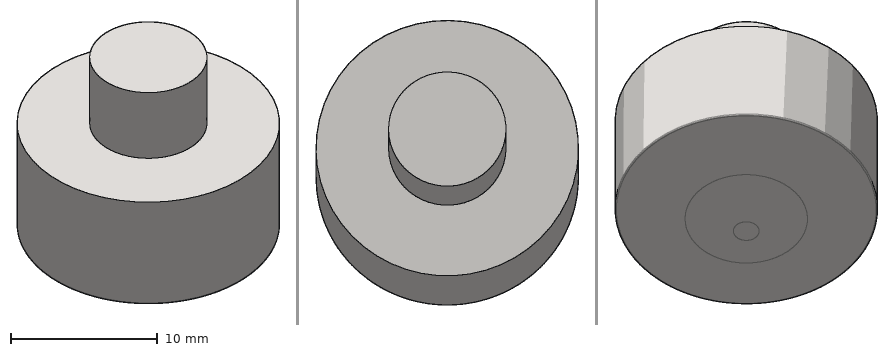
import cadquery as cq
import math

body_radius = 8.95
stem_radius = 8.0 / 2
total_height = 16.7
stem_height = 5.62
rim_fillet = 0.1

nose_radius = 1.79
flare_radius = 10.92
nose_edge_angle = math.radians(29.4)
cone_angle = math.radians(10.9)

shoulder_z = total_height - stem_height


def nose_point(angle):
    """Point (radius, height) on the nose where its slope equals the angle."""
    return nose_radius * math.sin(angle), nose_radius * (1 - math.cos(angle))


nose_edge = nose_point(nose_edge_angle)

flare_center_r = nose_edge[0] + flare_radius * math.sin(nose_edge_angle)
flare_center_z = nose_edge[1] - flare_radius * math.cos(nose_edge_angle)


def flare_point(angle):
    """Point (radius, height) on the flare where its slope equals the angle."""
    return (
        flare_center_r - flare_radius * math.sin(angle),
        flare_center_z + flare_radius * math.cos(angle),
    )


flare_end = flare_point(cone_angle)
rim_z = flare_end[1] + (body_radius - flare_end[0]) * math.tan(cone_angle)

body = (
    cq.Workplane("XZ")
    .moveTo(0, 0)
    .threePointArc(nose_point(nose_edge_angle / 2), nose_edge)
    .threePointArc(flare_point((nose_edge_angle + cone_angle) / 2), flare_end)
    .lineTo(body_radius, rim_z)
    .lineTo(body_radius, shoulder_z)
    .lineTo(0, shoulder_z)
    .close()
    .revolve(360, (0, 0, 0), (0, 1, 0))
)

rim_edge = cq.selectors.NearestToPointSelector((0, 0, rim_z))
body = body.edges("%CIRCLE").edges(rim_edge).fillet(rim_fillet)

stem = cq.Workplane("XY").workplane(offset=shoulder_z).circle(stem_radius).extrude(stem_height)

result = body.union(stem)